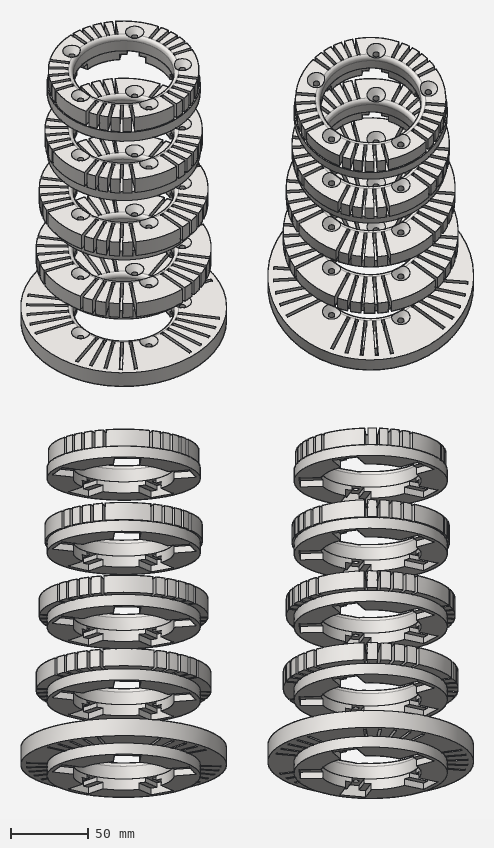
import cadquery as cq
import math

TOTAL_HEIGHT = 219.0
BASE_HEIGHT = 7.5
DISC_HEIGHT = 11.6
DISC_DIAMETERS = [133.0, 113.0, 109.0, 101.6, 97.3]
PAIR_PITCH = (TOTAL_HEIGHT - BASE_HEIGHT - DISC_HEIGHT) / (len(DISC_DIAMETERS) - 1)

BORE_DIAMETER = 65.0
BASE_DIAMETER = 99.0

SCREW_COUNT = 5
SCREW_STEP = 360 / SCREW_COUNT
FIRST_SCREW_ANGLE = SCREW_STEP / 2
SCREW_CIRCLE_RADIUS = 38.1
SCREW_HOLE_DIAMETER = 4.0
COUNTERSINK_DIAMETER = 11.8
COUNTERSINK_ANGLE = 90

POCKET_OUTER_RADIUS = 46.0
WIDE_CHANNEL_WIDTH = 17.0
WIDE_CHANNEL_HEIGHT = 4.4
NARROW_CHANNEL_WIDTH = 8.0

BORE_FILLET = 3.0

SLOTS_PER_GROUP = 5
SLOT_STEP = 9
SLOT_WIDTH = 2.0
SLOT_INNER_RADIUS = 36.0
SLOT_OUTER_RADIUS = 62.9


def ring(outer_diameter, height):
    """Plain ring standing on the XY plane."""
    return cq.Workplane("XY").circle(outer_diameter / 2).circle(BORE_DIAMETER / 2).extrude(height)


def screw_angles():
    """Directions of the screw holes."""
    return [FIRST_SCREW_ANGLE + i * SCREW_STEP for i in range(SCREW_COUNT)]


def screw_points():
    """Centres of the screw holes."""
    angles = [math.radians(angle) for angle in screw_angles()]
    return [(SCREW_CIRCLE_RADIUS * math.cos(a), SCREW_CIRCLE_RADIUS * math.sin(a)) for a in angles]


def slot_angles():
    """Directions of all slots; each group is centred halfway between two screws."""
    middle = (SLOTS_PER_GROUP - 1) / 2
    return [
        group * SCREW_STEP + (i - middle) * SLOT_STEP
        for group in range(SCREW_COUNT)
        for i in range(SLOTS_PER_GROUP)
    ]


def radial_bar(inner_radius, outer_radius, width, height, angle):
    """Upright-sided bar that runs outwards from the axis in one direction."""
    bar = cq.Workplane("XY").box(outer_radius - inner_radius, width, height, centered=(False, True, False))
    return bar.translate((inner_radius, 0, 0)).rotate((0, 0, 0), (0, 0, 1), angle)


def base_ring():
    """Lower ring with a T-shaped pocket below each screw hole."""
    base = ring(BASE_DIAMETER, BASE_HEIGHT)
    for angle in screw_angles():
        wide_channel = radial_bar(0, POCKET_OUTER_RADIUS, WIDE_CHANNEL_WIDTH, WIDE_CHANNEL_HEIGHT, angle)
        narrow_channel = radial_bar(0, POCKET_OUTER_RADIUS, NARROW_CHANNEL_WIDTH, BASE_HEIGHT, angle)
        base = base.cut(wide_channel).cut(narrow_channel)
    return base


def slot_bars():
    """All bars that cut the radial slots through the full height of a disc."""
    bars = [
        radial_bar(SLOT_INNER_RADIUS, SLOT_OUTER_RADIUS, SLOT_WIDTH, DISC_HEIGHT, angle).val()
        for angle in slot_angles()
    ]
    return cq.Workplane(cq.Compound.makeCompound(bars))


def slotted_disc(outer_diameter):
    """Upper ring with a rounded bore edge, countersunk screw holes and radial slots."""
    disc = ring(outer_diameter, DISC_HEIGHT)
    disc = disc.faces(">Z").edges(cq.selectors.RadiusNthSelector(0)).fillet(BORE_FILLET)
    disc = (
        disc.faces(">Z")
        .workplane(origin=(0, 0, DISC_HEIGHT))
        .pushPoints(screw_points())
        .cskHole(SCREW_HOLE_DIAMETER, COUNTERSINK_DIAMETER, COUNTERSINK_ANGLE)
    )
    return disc.cut(slot_bars())


bodies = []
for level, disc_diameter in enumerate(DISC_DIAMETERS):
    base_bottom = level * PAIR_PITCH
    base = base_ring().translate((0, 0, base_bottom))
    disc = slotted_disc(disc_diameter).translate((0, 0, base_bottom + BASE_HEIGHT))
    bodies += [base.solids().val(), disc.solids().val()]

result = cq.Compound.makeCompound(bodies)